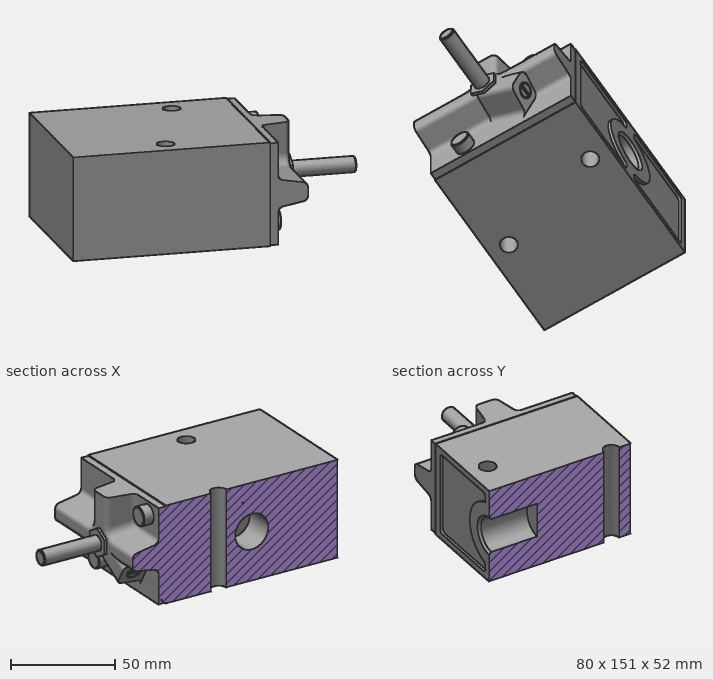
import cadquery as cq
import math

WIDTH = 80.0
LENGTH = 151.0
HEIGHT = 52.0
REAR_Y = LENGTH / 2
FRONT_Y = -LENGTH / 2

BODY_LENGTH = 98.0
BODY_TOP_Y = FRONT_Y + BODY_LENGTH
MOUNT_HOLE_DIAMETER = 8.6
MOUNT_HOLE_X = 29.1
PORT_Y = -26.6
REAR_HOLE_Y = -7.7
MOUNT_HOLES = [(-MOUNT_HOLE_X, REAR_HOLE_Y), (MOUNT_HOLE_X, PORT_Y)]

PORT_DIAMETER = 18.5
PORT_MOUTH_DIAMETER = 21.1
PORT_DEPTH = 27.2

RECESS_DEPTH = 1.5
RECESS_HEIGHT = 45.1
RECESS_FRONT_Y = -72.3
RECESS_REAR_Y = 18.0
RECESS_CORNER_RADIUS = 2.0
RECESS_GAP = 6.6
PORT_RIM_DIAMETER = 35.0

PLATE_THICKNESS = 4.1
PLATE_WIDTH = 79.7
PLATE_HEIGHT = 51.0
PLATE_TOP_Y = BODY_TOP_Y + PLATE_THICKNESS

RIB_HEIGHT = 15.0
RIB_TOP_Y = PLATE_TOP_Y + RIB_HEIGHT
FLANK_ANGLE = 10.0
LONG_RIB_BASE = 14.0
ARM_BASE = 17.4
RIB_FILLET = 3.0
RIB_CORNER_RADIUS = 5.1
EARTH_ARM_TILT = 30.0
EARTH_ARM_LENGTH = 21.5
EARTH_ARM_OVERLAP = 3.0

EARTH_SCREW_DIAMETER = 6.8
EARTH_SCREW_SEAT_DIAMETER = 8.0
EARTH_SCREW_SEAT_DEPTH = 1.5
EARTH_SLOT_WIDTH = 1.0
EARTH_SCREW_HEIGHT = 7.1

SCREW_HEAD_DIAMETER = 10.0
SCREW_HEAD_HEIGHT = 5.7
SCREW_HEAD_CHAMFER = 0.5
SCREW_X = 20.0
SCREW_Z = 18.9

CABLE_DIAMETER = 8.0
CABLE_CHAMFER = 0.6
COLLAR_ACROSS_FLATS = 13.1
COLLAR_SIDES = 6
COLLAR_THICKNESS = 1.5

TOLERANCE = 0.02


def at_y(y):
    """Sketch plane facing +Y, with local x along -X and local y along Z."""
    return cq.Workplane(cq.Plane((0, y, 0), xDir=(-1, 0, 0), normal=(0, 1, 0)))


def mounting_holes():
    """Two holes through the body along Z."""
    return (
        cq.Workplane("XY")
        .pushPoints(MOUNT_HOLES)
        .circle(MOUNT_HOLE_DIAMETER / 2)
        .extrude(HEIGHT, both=True)
    )


def port():
    """Blind bore in the -X side with a 45 degree chamfered mouth."""
    mouth_radius = PORT_MOUTH_DIAMETER / 2
    bore_radius = PORT_DIAMETER / 2
    chamfer = mouth_radius - bore_radius
    side_plane = cq.Plane((-WIDTH / 2, PORT_Y, 0), xDir=(0, 0, 1), normal=(0, 1, 0))
    return (
        cq.Workplane(side_plane)
        .polyline(
            [
                (0, 0),
                (mouth_radius, 0),
                (bore_radius, chamfer),
                (bore_radius, PORT_DEPTH),
                (0, PORT_DEPTH),
            ]
        )
        .close()
        .revolve(360, (0, 0), (0, 1))
    )


def recess(start_y, end_y):
    """Shallow pocket in the -X side, kept clear of the round rim of the port."""
    pocket = (
        cq.Workplane("XY")
        .box(RECESS_DEPTH, end_y - start_y, RECESS_HEIGHT)
        .translate(((RECESS_DEPTH - WIDTH) / 2, (start_y + end_y) / 2, 0))
    )
    rim = (
        cq.Workplane("YZ", origin=(-WIDTH / 2, PORT_Y, 0))
        .circle(PORT_RIM_DIAMETER / 2)
        .extrude(RECESS_DEPTH)
    )
    return pocket.cut(rim).edges("|X").fillet(RECESS_CORNER_RADIUS)


body = (
    cq.Workplane("XY")
    .box(WIDTH, BODY_LENGTH, HEIGHT)
    .translate((0, (FRONT_Y + BODY_TOP_Y) / 2, 0))
    .cut(mounting_holes())
    .cut(port())
    .cut(recess(RECESS_FRONT_Y, PORT_Y - RECESS_GAP / 2))
    .cut(recess(PORT_Y + RECESS_GAP / 2, RECESS_REAR_Y))
)


def rib(base_width, start_x, end_x):
    """Trapezoidal bar along X standing on a thin strip inside the plate."""
    half_base = base_width / 2
    half_top = half_base - RIB_HEIGHT * math.tan(math.radians(FLANK_ANGLE))
    half_strip = half_base + RIB_FILLET
    section_plane = cq.Plane((start_x, PLATE_TOP_Y, 0), xDir=(0, 0, -1), normal=(1, 0, 0))
    return (
        cq.Workplane(section_plane)
        .polyline(
            [
                (-half_strip, -PLATE_THICKNESS),
                (half_strip, -PLATE_THICKNESS),
                (half_strip, 0),
                (half_base, 0),
                (half_top, RIB_HEIGHT),
                (-half_top, RIB_HEIGHT),
                (-half_base, 0),
                (-half_strip, 0),
            ]
        )
        .close()
        .extrude(end_x - start_x)
    )


def is_inner_corner(edge):
    """True for the two upright edges where the up arm meets the long rib."""
    middle = edge.Center()
    rises = abs(edge.startPoint().y - edge.endPoint().y) > RIB_HEIGHT - TOLERANCE
    return rises and 0 < middle.z < LONG_RIB_BASE / 2 and abs(middle.x) < ARM_BASE / 2


def is_rib_outline(edge):
    """True for edges along the top or foot of the ribs, clear of the plate's outer sides."""
    middle = edge.Center()
    level = min(abs(middle.y - PLATE_TOP_Y), abs(middle.y - RIB_TOP_Y)) < TOLERANCE
    inside = abs(middle.x) < PLATE_WIDTH / 2 - TOLERANCE and abs(middle.z) < PLATE_HEIGHT / 2 - TOLERANCE
    return level and inside


def is_arm_outline(edge):
    """True for the top and foot edges running along an arm that lies along X."""
    runs_along = abs(edge.startPoint().x - edge.endPoint().x) > TOLERANCE
    return is_rib_outline(edge) and runs_along and abs(edge.Center().z) < ARM_BASE / 2 + TOLERANCE


def fillet_where(solid, is_wanted, radius):
    """Round the edges of a solid for which the test is true."""
    edges = [edge for edge in solid.edges().vals() if is_wanted(edge)]
    return solid.newObject(edges).fillet(radius)


def earth_arm():
    """Rounded arm tilted below -X, with a slotted screw sunk in its end face."""
    arm = fillet_where(
        rib(ARM_BASE, -EARTH_ARM_LENGTH, EARTH_ARM_OVERLAP),
        is_arm_outline,
        RIB_FILLET,
    )
    end_face = cq.Plane(
        (-EARTH_ARM_LENGTH, PLATE_TOP_Y + EARTH_SCREW_HEIGHT, 0), xDir=(0, 1, 0), normal=(1, 0, 0)
    )
    seat = (
        cq.Workplane(end_face)
        .circle(EARTH_SCREW_SEAT_DIAMETER / 2)
        .circle(EARTH_SCREW_DIAMETER / 2)
        .extrude(EARTH_SCREW_SEAT_DEPTH)
    )
    slot = (
        cq.Workplane(end_face)
        .rect(EARTH_SCREW_DIAMETER, EARTH_SLOT_WIDTH)
        .extrude(EARTH_SCREW_SEAT_DEPTH)
    )
    return arm.cut(seat).cut(slot).rotate((0, 0, 0), (0, 1, 0), -EARTH_ARM_TILT)


def cover_screws():
    """Two chamfered cylindrical screw heads on opposite corners of the plate."""
    return (
        at_y(PLATE_TOP_Y)
        .pushPoints([(SCREW_X, SCREW_Z), (-SCREW_X, -SCREW_Z)])
        .circle(SCREW_HEAD_DIAMETER / 2)
        .extrude(SCREW_HEAD_HEIGHT)
        .faces(">Y")
        .chamfer(SCREW_HEAD_CHAMFER)
    )


def cable():
    """Cable leaving the rib through a hexagonal collar with corners on the Z axis."""
    across_corners = COLLAR_ACROSS_FLATS / math.cos(math.pi / COLLAR_SIDES)
    collar = (
        at_y(RIB_TOP_Y)
        .transformed(rotate=(0, 0, 90))
        .polygon(COLLAR_SIDES, across_corners)
        .extrude(COLLAR_THICKNESS)
    )
    core = (
        at_y(RIB_TOP_Y)
        .circle(CABLE_DIAMETER / 2)
        .extrude(REAR_Y - RIB_TOP_Y)
        .faces(">Y")
        .chamfer(CABLE_CHAMFER)
    )
    return collar.union(core)


plate = (
    cq.Workplane("XY")
    .box(PLATE_WIDTH, PLATE_THICKNESS, PLATE_HEIGHT)
    .translate((0, BODY_TOP_Y + PLATE_THICKNESS / 2, 0))
)
long_rib = rib(LONG_RIB_BASE, -PLATE_WIDTH / 2, PLATE_WIDTH / 2)
up_arm = rib(ARM_BASE, 0, PLATE_HEIGHT / 2).rotate((0, 0, 0), (0, 1, 0), -90)
cover = plate.union(long_rib).union(up_arm).clean()
cover = fillet_where(cover, is_inner_corner, RIB_CORNER_RADIUS)
cover = fillet_where(cover, is_rib_outline, RIB_FILLET)
cover = cover.union(earth_arm())

result = body.union(cover).union(cover_screws()).union(cable())